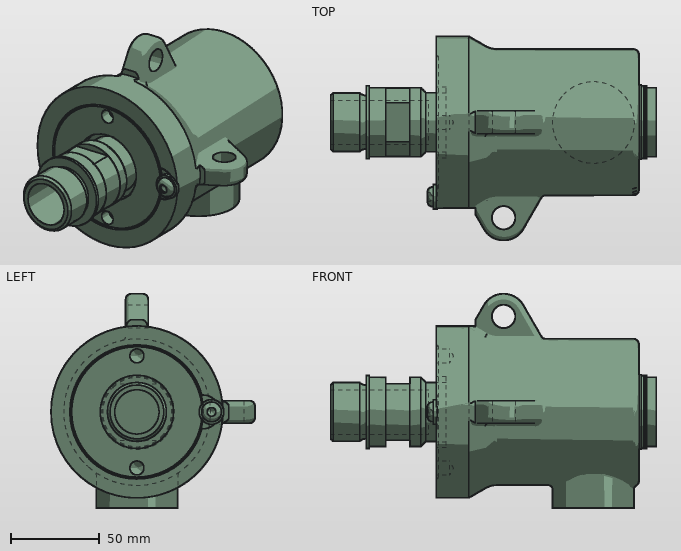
import cadquery as cq
import math


NOSE_CHAMFER = 1.5
THREAD_DIAMETER = 33.2
THREAD_END = 16.3
NECK_DIAMETER = 30.3
RING_DIAMETER = 41.3
RING_START = 20.0
RING_END = 21.8
COLLAR_DIAMETER = 39.0
COLLAR_CHAMFER_START = 50.8
SHAFT_DIAMETER = 33.4
FLATS_BAND_DIAMETER = 38.7
FLATS_START = 31.2
FLATS_END = 44.5
ACROSS_FLATS = 32.0
BORE_DIAMETER = 25.0
BORE_DEPTH = 55.0

FLANGE_START = 59.5
FLANGE_END = 77.8
FLANGE_RADIUS = 48.5
SHOULDER_ANGLE = 30
SHOULDER_FILLET = 13.2
BODY_RADIUS = 41.3
BODY_END = 173.7
BODY_END_FILLET = 3.5

REAR_RING_DIAMETER = 42.0
REAR_RING_END = 175.0
REAR_DISC_DIAMETER = 41.3
REAR_GROOVE_DIAMETER = 39.6
REAR_GROOVE_START = 176.3
REAR_GROOVE_END = 177.2
REAR_DISC_END = 178.1
CAP_DIAMETER = 39.0
TOTAL_LENGTH = 183.5

PLATE_RADIUS = 36.7
PLATE_RECESS_DIAMETER = 40.0
PLATE_RECESS_DEPTH = 5.5
PLATE_GAP = 1.1
PLATE_GAP_DEPTH = 1.1
PIN_HOLE_DIAMETER = 7.9
PIN_HOLE_DEPTH = 7.3
PIN_HOLE_OFFSET = 31.5
DRILL_POINT_ANGLE = 118

SCREW_OFFSET = 42.0
SCREW_TIP = 54.5
HEAD_DIAMETER = 11.2
HEAD_FILLET = 3.0
WASHER_DIAMETER = 14.0
WASHER_START = 57.8
SOCKET_DIAMETER = 5.0
SOCKET_DEPTH = 1.5
POCKET_OFFSET = 37.0
POCKET_DIAMETER = 19.0
POCKET_DEPTH = 0.7

LUG_STATION = 97.5
LUG_HEIGHT = 53.8
LUG_RADIUS = 12.8
LUG_HOLE_DIAMETER = 13.0
LUG_THICKNESS = 12.8
LUG_SIDE_ANGLE = 60
LUG_FRONT = 81.5
LUG_ROOT = 34.9
LUG_EDGE_FILLET = 3.3
LUG_BASE_FILLET = 2.4

PORT_STATION = 147.9
PORT_DIAMETER = 46.0
PORT_BOTTOM = -54.1
PORT_FILLET = 2.2

JOINT_MARGIN = 1.0
LUG_JOINT_X = (LUG_STATION - 2 * LUG_RADIUS, LUG_STATION + 2 * LUG_RADIUS)
LUG_JOINT_HALF_WIDTH = LUG_THICKNESS / 2 + JOINT_MARGIN
LUG_JOINT_TOP = FLANGE_RADIUS + JOINT_MARGIN
TOP_LUG_JOINT = cq.selectors.BoxSelector(
    (LUG_JOINT_X[0], -LUG_JOINT_HALF_WIDTH, LUG_ROOT),
    (LUG_JOINT_X[1], LUG_JOINT_HALF_WIDTH, LUG_JOINT_TOP),
    boundingbox=True,
)
FRONT_LUG_JOINT = cq.selectors.BoxSelector(
    (LUG_JOINT_X[0], -LUG_JOINT_TOP, -LUG_JOINT_HALF_WIDTH),
    (LUG_JOINT_X[1], -LUG_ROOT, LUG_JOINT_HALF_WIDTH),
    boundingbox=True,
)
PORT_JOINT = cq.selectors.BoxSelector(
    (PORT_STATION - PORT_DIAMETER, -PORT_DIAMETER, PORT_BOTTOM + JOINT_MARGIN),
    (PORT_STATION + PORT_DIAMETER / 2 + JOINT_MARGIN, PORT_DIAMETER, 0),
    boundingbox=True,
)


def disc(diameter, start, end, offset_y=0.0, offset_z=0.0):
    """Cylinder along X between two stations."""
    return (
        cq.Workplane("YZ", origin=(start, offset_y, offset_z))
        .circle(diameter / 2)
        .extrude(end - start)
    )


def revolve_about_x(profile):
    return profile.close().revolve(360, (0, 0, 0), (1, 0, 0))


def make_spindle():
    """Solid spindle with a concave neck behind the thread and two wrench flats, before boring."""
    thread_radius = THREAD_DIAMETER / 2
    neck_radius = NECK_DIAMETER / 2
    neck_drop = thread_radius - neck_radius
    neck_length = RING_START - THREAD_END
    neck_blend_radius = (neck_length**2 + neck_drop**2) / (2 * neck_drop)
    collar_radius = COLLAR_DIAMETER / 2
    shaft_radius = SHAFT_DIAMETER / 2
    chamfer_end = COLLAR_CHAMFER_START + collar_radius - shaft_radius
    spindle = revolve_about_x(
        cq.Workplane("XY")
        .lineTo(0, thread_radius - NOSE_CHAMFER)
        .lineTo(NOSE_CHAMFER, thread_radius)
        .lineTo(THREAD_END, thread_radius)
        .radiusArc((RING_START, neck_radius), -neck_blend_radius)
        .lineTo(RING_START, RING_DIAMETER / 2)
        .lineTo(RING_END, RING_DIAMETER / 2)
        .lineTo(RING_END, collar_radius)
        .lineTo(COLLAR_CHAMFER_START, collar_radius)
        .lineTo(chamfer_end, shaft_radius)
        .lineTo(FLANGE_END, shaft_radius)
        .lineTo(FLANGE_END, 0)
    )
    flats_length = FLATS_END - FLATS_START
    flats_zone = disc(2 * COLLAR_DIAMETER, FLATS_START, FLATS_END)
    between_flats = cq.Workplane("XY").box(flats_length, COLLAR_DIAMETER, ACROSS_FLATS)
    between_flats = between_flats.translate((FLATS_START + flats_length / 2, 0, 0))
    flats_band = disc(FLATS_BAND_DIAMETER, FLATS_START, FLATS_END).intersect(between_flats)
    return spindle.cut(flats_zone).union(flats_band)


def make_casting():
    """Solid body whose conical shoulder runs on past the flange radius, to be turned down later."""
    slope = math.radians(SHOULDER_ANGLE)
    cone_end = FLANGE_END + (FLANGE_RADIUS - BODY_RADIUS) / math.tan(slope)
    tangent = SHOULDER_FILLET * math.tan(slope / 2)
    blend_end = cone_end + tangent
    blend_start = (cone_end - tangent * math.cos(slope), BODY_RADIUS + tangent * math.sin(slope))
    blend_middle = (
        blend_end - SHOULDER_FILLET * math.sin(slope / 2),
        BODY_RADIUS + SHOULDER_FILLET * (1 - math.cos(slope / 2)),
    )
    cone_start_radius = FLANGE_RADIUS + (FLANGE_END - FLANGE_START) * math.tan(slope)
    return revolve_about_x(
        cq.Workplane("XY")
        .moveTo(FLANGE_START, 0)
        .lineTo(FLANGE_START, cone_start_radius)
        .lineTo(*blend_start)
        .threePointArc(blend_middle, (blend_end, BODY_RADIUS))
        .lineTo(BODY_END, BODY_RADIUS)
        .lineTo(BODY_END, 0)
    )


def make_rear_cap():
    """Stepped cap with a narrow groove closing the rear end."""
    cap = disc(REAR_RING_DIAMETER, BODY_END, REAR_RING_END)
    cap = cap.union(disc(REAR_DISC_DIAMETER, REAR_RING_END, REAR_GROOVE_START))
    cap = cap.union(disc(REAR_GROOVE_DIAMETER, REAR_GROOVE_START, REAR_GROOVE_END))
    cap = cap.union(disc(REAR_DISC_DIAMETER, REAR_GROOVE_END, REAR_DISC_END))
    return cap.union(disc(CAP_DIAMETER, REAR_DISC_END, TOTAL_LENGTH))


def make_lug():
    """Rounded triangular ear standing on top of the body, without its hole."""
    side = math.radians(LUG_SIDE_ANGLE)
    tangent_x = LUG_RADIUS * math.sin(side)
    tangent_z = LUG_HEIGHT + LUG_RADIUS * math.cos(side)
    root_x = tangent_x + (tangent_z - LUG_ROOT) / math.tan(side)
    ear = (
        cq.Workplane("XZ", origin=(LUG_STATION, LUG_THICKNESS / 2, 0))
        .moveTo(-root_x, LUG_ROOT)
        .lineTo(-tangent_x, tangent_z)
        .threePointArc((0, LUG_HEIGHT + LUG_RADIUS), (tangent_x, tangent_z))
        .lineTo(root_x, LUG_ROOT)
        .close()
        .extrude(LUG_THICKNESS)
    )
    return ear.faces("|Y").edges("not <Z").fillet(LUG_EDGE_FILLET)


def lug_hole():
    return (
        cq.Workplane("XZ", origin=(LUG_STATION, LUG_THICKNESS, LUG_HEIGHT))
        .circle(LUG_HOLE_DIAMETER / 2)
        .extrude(2 * LUG_THICKNESS)
    )


def on_front(shape):
    """Turn a shape built on top of the body a quarter turn onto its -Y side."""
    return shape.rotate((0, 0, 0), (1, 0, 0), 90)


def make_port():
    return (
        cq.Workplane("XY", origin=(PORT_STATION, 0, PORT_BOTTOM))
        .circle(PORT_DIAMETER / 2)
        .extrude(-PORT_BOTTOM)
    )


def plate_gap():
    """V-shaped circular gap around the front plate."""
    return revolve_about_x(
        cq.Workplane("XY")
        .moveTo(FLANGE_START, PLATE_RADIUS)
        .lineTo(FLANGE_START, PLATE_RADIUS + PLATE_GAP)
        .lineTo(FLANGE_START + PLATE_GAP_DEPTH, PLATE_RADIUS + PLATE_GAP / 2)
    )


def drilled_hole(diameter, depth, start, offset_y=0.0, offset_z=0.0):
    """Blind hole along +X with a drill point beyond its full-diameter depth."""
    radius = diameter / 2
    point_depth = radius / math.tan(math.radians(DRILL_POINT_ANGLE / 2))
    hole = revolve_about_x(
        cq.Workplane("XY")
        .lineTo(0, radius)
        .lineTo(depth, radius)
        .lineTo(depth + point_depth, 0)
    )
    return hole.translate((start, offset_y, offset_z))


def make_screw():
    """Round-headed locking screw on its washer."""
    screw = disc(HEAD_DIAMETER, SCREW_TIP, WASHER_START, -SCREW_OFFSET)
    screw = screw.faces("<X").edges().fillet(HEAD_FILLET)
    screw = screw.union(disc(WASHER_DIAMETER, WASHER_START, FLANGE_START + POCKET_DEPTH, -SCREW_OFFSET))
    return screw.cut(drilled_hole(SOCKET_DIAMETER, SOCKET_DEPTH, SCREW_TIP, -SCREW_OFFSET))


casting = make_casting().union(make_port())
casting = casting.edges(PORT_JOINT).fillet(PORT_FILLET)
casting = casting.faces(">X").edges().fillet(BODY_END_FILLET)

casting = casting.union(make_lug())
casting = casting.edges(TOP_LUG_JOINT).fillet(LUG_BASE_FILLET)
casting = casting.union(on_front(make_lug()))
casting = casting.edges(FRONT_LUG_JOINT).fillet(LUG_BASE_FILLET)
casting = casting.cut(lug_hole()).cut(on_front(lug_hole()))

swarf = disc(2 * TOTAL_LENGTH, FLANGE_START, LUG_FRONT)
casting = casting.cut(swarf.cut(disc(2 * FLANGE_RADIUS, FLANGE_START, LUG_FRONT)))

casting = casting.cut(plate_gap())
plate_recess_end = FLANGE_START + PLATE_RECESS_DEPTH
casting = casting.cut(disc(PLATE_RECESS_DIAMETER, FLANGE_START, plate_recess_end))
for side in (-1, 1):
    pin_hole_z = side * PIN_HOLE_OFFSET
    casting = casting.cut(drilled_hole(PIN_HOLE_DIAMETER, PIN_HOLE_DEPTH, FLANGE_START, 0, pin_hole_z))
pocket_end = FLANGE_START + POCKET_DEPTH
pocket = disc(POCKET_DIAMETER, FLANGE_START, pocket_end, -POCKET_OFFSET)
casting = casting.cut(pocket.cut(disc(2 * PLATE_RADIUS, FLANGE_START, pocket_end)))

result = casting.union(make_spindle()).union(make_rear_cap()).union(make_screw())
result = result.cut(disc(BORE_DIAMETER, 0, BORE_DEPTH))